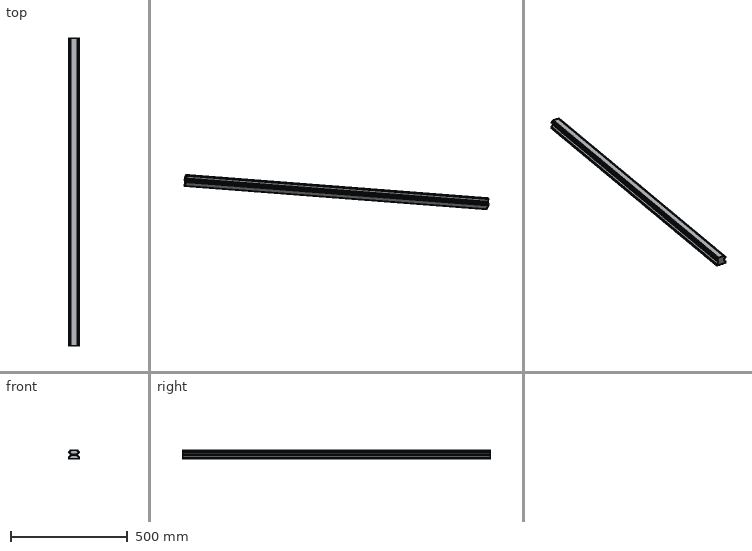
import cadquery as cq
import math

LENGTH = 1320.0
BASE_WIDTH = 45.0
HEIGHT = 38.0

FOOT_CHAMFER = 1.4
BASE_SIDE_TOP = 7.4
WAIST_WIDTH = 29.0

HEAD_SIDE_BOTTOM = 29.0
TOP_WIDTH = 28.0
TOP_CHAMFER = 1.4
GROOVE_RADIUS = 3.8

RECESS_WIDTH = 14.5
RECESS_HEIGHT = 5.7
RECESS_CENTER_HEIGHT = 18.25
RECESS_DEPTH = 1.0

BASE_HALF = BASE_WIDTH / 2
HEAD_HALF = BASE_HALF
WAIST_HALF = WAIST_WIDTH / 2
TOP_HALF = TOP_WIDTH / 2
FRONT_Y = -LENGTH / 2

WAIST_BOTTOM = BASE_SIDE_TOP + (BASE_HALF - WAIST_HALF)
WAIST_TOP = HEAD_SIDE_BOTTOM - (HEAD_HALF - WAIST_HALF)

GROOVE_START_X = TOP_HALF + TOP_CHAMFER
GROOVE_START_Z = HEIGHT - TOP_CHAMFER
GROOVE_END_X = GROOVE_START_X + GROOVE_RADIUS
GROOVE_END_Z = GROOVE_START_Z - GROOVE_RADIUS
GROOVE_MID_OFFSET = GROOVE_RADIUS * (1 - math.sqrt(0.5))
HEAD_SIDE_TOP = GROOVE_END_Z - (HEAD_HALF - GROOVE_END_X)


def end_plane(height):
    """Sketch plane on the front end face, centred at the given height."""
    return cq.Workplane("XZ", origin=(0, FRONT_Y, height))


def make_half_rail():
    """Extrude the +X half of the profile over the full length."""
    groove_middle = (GROOVE_START_X + GROOVE_MID_OFFSET, GROOVE_END_Z + GROOVE_MID_OFFSET)
    profile = (
        end_plane(0)
        .lineTo(BASE_HALF - FOOT_CHAMFER, 0)
        .lineTo(BASE_HALF, FOOT_CHAMFER)
        .lineTo(BASE_HALF, BASE_SIDE_TOP)
        .lineTo(WAIST_HALF, WAIST_BOTTOM)
        .lineTo(WAIST_HALF, WAIST_TOP)
        .lineTo(HEAD_HALF, HEAD_SIDE_BOTTOM)
        .lineTo(HEAD_HALF, HEAD_SIDE_TOP)
        .lineTo(GROOVE_END_X, GROOVE_END_Z)
        .threePointArc(groove_middle, (GROOVE_START_X, GROOVE_START_Z))
        .lineTo(TOP_HALF, HEIGHT)
        .lineTo(0, HEIGHT)
        .close()
    )
    return profile.extrude(-LENGTH)


def make_rail():
    """Join the half rail with its mirror image into the full symmetric rail."""
    half = make_half_rail()
    return half.union(half.mirror("YZ")).clean()


def make_end_recess():
    """Block that cuts the shallow recess into the front end face."""
    return end_plane(RECESS_CENTER_HEIGHT).rect(RECESS_WIDTH, RECESS_HEIGHT).extrude(-RECESS_DEPTH)


result = make_rail().cut(make_end_recess())